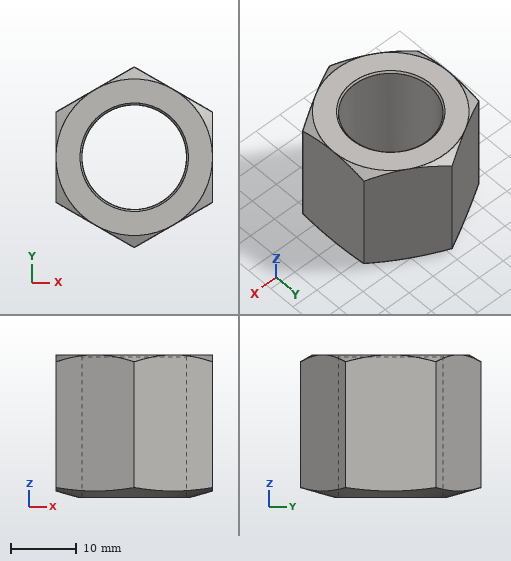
import cadquery as cq
import math

across_corners = 27.7
height = 21.9
bore_diameter = 16.02
bore_mouth_diameter = 16.63
bottom_face_diameter = 16.9
top_chamfer_angle = 30.0
bottom_chamfer_angle = 16.0

corner_radius = across_corners / 2
flat_radius = corner_radius * math.cos(math.radians(30))
bore_radius = bore_diameter / 2
bore_mouth_radius = bore_mouth_diameter / 2
bottom_face_radius = bottom_face_diameter / 2
bore_chamfer = bore_mouth_radius - bore_radius
top_drop = (corner_radius - flat_radius) * math.tan(math.radians(top_chamfer_angle))
bottom_rise = (corner_radius - bottom_face_radius) * math.tan(math.radians(bottom_chamfer_angle))


def hexagonal_bar():
    """Hexagonal prism with two opposite corners on the Y axis."""
    return (
        cq.Workplane("XY")
        .polygon(6, across_corners)
        .extrude(height)
        .rotate((0, 0, 0), (0, 0, 1), 90)
    )


def turned_envelope():
    """Revolved ring: conical outer ends and a bore with a 45 degree chamfer at its top."""
    half_section = [
        (bore_radius, 0),
        (bottom_face_radius, 0),
        (corner_radius, bottom_rise),
        (corner_radius, height - top_drop),
        (flat_radius, height),
        (bore_mouth_radius, height),
        (bore_radius, height - bore_chamfer),
    ]
    return cq.Workplane("XZ").polyline(half_section).close().revolve(360, (0, 0), (0, 1))


result = hexagonal_bar().intersect(turned_envelope())